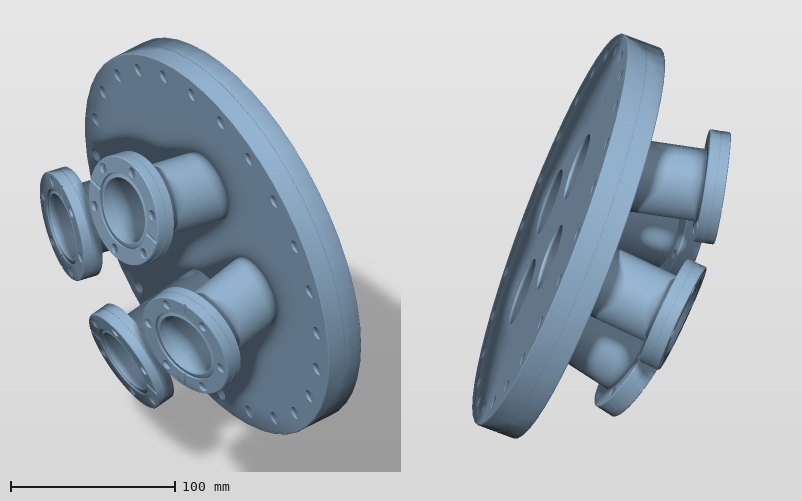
import cadquery as cq
import math

PLATE_DIAMETER = 254.0
PLATE_THICKNESS = 24.6
PLATE_BOLT_COUNT = 24
PLATE_BOLT_CIRCLE = 232.0
PLATE_BOLT_DIAMETER = 8.5

EDGE_CHAMFER = 0.5
RIM_GROOVE_WIDTH = 0.8
RIM_GROOVE_DEPTH = 0.3

PORT_COUNT = 4
TILT = 12.8
TUBE_OUTER_DIAMETER = 44.5
TUBE_BORE = 41.5

FLANGE_DIAMETER = 69.0
FLANGE_THICKNESS = 12.7
FLANGE_LIP = 5.3
FLANGE_BOLT_COUNT = 6
FLANGE_BOLT_CIRCLE = 58.7
FLANGE_BOLT_DIAMETER = 6.5

RECESS_DIAMETER = 48.3
RECESS_DEPTH = 1.5
KNIFE_DIAMETER = 42.0
KNIFE_DEPTH = 0.5

LEAK_GROOVE_WIDTH = 2.3
LEAK_GROOVE_DEPTH = 0.64

FACE_RADIUS = 64.0
FACE_DISTANCE = 62.5

TILT_SINE = math.sin(math.radians(TILT))
TILT_COSINE = math.cos(math.radians(TILT))
PORT_PLANE = cq.Plane(
    origin=(FACE_RADIUS, -FACE_DISTANCE, 0),
    xDir=(TILT_COSINE, TILT_SINE, 0),
    normal=(TILT_SINE, -TILT_COSINE, 0),
)
PORT_SECTION = cq.Plane(origin=PORT_PLANE.origin, xDir=PORT_PLANE.xDir, normal=-PORT_PLANE.yDir)
REACH = 2 * (FACE_DISTANCE + PLATE_THICKNESS)


def port_cylinder(diameter, top=0.0, length=REACH):
    """Cylinder on the port axis, running back from local height `top`."""
    return cq.Workplane(PORT_PLANE).workplane(offset=top).circle(diameter / 2).extrude(-length)


def turned_to_port(body, index):
    """Copy of a body turned about the plate axis to the given port."""
    return body.rotate((0, 0, 0), (0, 1, 0), index * 360 / PORT_COUNT)


def disc(front_plane, diameter, thickness):
    """Chamfered disc behind its front plane, with a fine groove round the middle of its rim."""
    body = cq.Workplane(front_plane).circle(diameter / 2).extrude(-thickness).edges().chamfer(EDGE_CHAMFER)
    rim_groove = (
        cq.Workplane(front_plane)
        .workplane(offset=(RIM_GROOVE_WIDTH - thickness) / 2)
        .circle(diameter / 2)
        .circle(diameter / 2 - RIM_GROOVE_DEPTH)
        .extrude(-RIM_GROOVE_WIDTH)
    )
    return body.cut(rim_groove)


def bolt_holes(front_plane, count, circle_diameter, hole_diameter, first_angle, depth):
    return (
        cq.Workplane(front_plane)
        .polarArray(circle_diameter / 2, first_angle, 360, count)
        .circle(hole_diameter / 2)
        .extrude(-depth)
    )


def make_plate():
    """Mounting plate with its bolt holes and the slanted holes that hold the tubes."""
    front = cq.Plane.named("XZ")
    half_pitch = 180 / PLATE_BOLT_COUNT
    plate = disc(front, PLATE_DIAMETER, PLATE_THICKNESS).cut(
        bolt_holes(
            front, PLATE_BOLT_COUNT, PLATE_BOLT_CIRCLE, PLATE_BOLT_DIAMETER, half_pitch, PLATE_THICKNESS
        )
    )
    tube_hole = port_cylinder(TUBE_OUTER_DIAMETER)
    for index in range(PORT_COUNT):
        plate = plate.cut(turned_to_port(tube_hole, index))
    return plate


def make_tube():
    """Tube from the flange socket to the back of the plate, trimmed flush there."""
    tube = port_cylinder(TUBE_OUTER_DIAMETER, top=-FLANGE_LIP).cut(port_cylinder(TUBE_BORE))
    behind_plate = (
        cq.Workplane("XZ", origin=(0, PLATE_THICKNESS, 0)).rect(2 * REACH, 2 * REACH).extrude(-REACH)
    )
    return tube.cut(behind_plate)


def sealing_recess():
    """Recess whose conical floor rises inward to a knife edge, then drops into the bore."""
    bore_radius = TUBE_BORE / 2
    knife_radius = KNIFE_DIAMETER / 2
    recess_radius = RECESS_DIAMETER / 2
    bore_depth = KNIFE_DEPTH + knife_radius - bore_radius
    return (
        cq.Workplane(PORT_SECTION)
        .moveTo(0, 0)
        .lineTo(recess_radius, 0)
        .lineTo(recess_radius, -RECESS_DEPTH)
        .lineTo(knife_radius, -KNIFE_DEPTH)
        .lineTo(bore_radius, -bore_depth)
        .lineTo(0, -bore_depth)
        .close()
        .revolve(360, (0, 0), (0, 1))
    )


def leak_grooves():
    """Round-bottomed groove on both sides of the recess, at right angles to the radial direction."""
    return (
        cq.Workplane(PORT_SECTION)
        .moveTo(-LEAK_GROOVE_WIDTH / 2, 0)
        .threePointArc((0, -LEAK_GROOVE_DEPTH), (LEAK_GROOVE_WIDTH / 2, 0))
        .close()
        .extrude(FLANGE_DIAMETER / 2, both=True)
        .cut(port_cylinder(RECESS_DIAMETER))
    )


def make_flange():
    """Port flange with a socket for the tube at its back."""
    holes = bolt_holes(
        PORT_PLANE, FLANGE_BOLT_COUNT, FLANGE_BOLT_CIRCLE, FLANGE_BOLT_DIAMETER, 0, FLANGE_THICKNESS
    )
    tube_socket = port_cylinder(TUBE_OUTER_DIAMETER, top=-FLANGE_LIP)
    return (
        disc(PORT_PLANE, FLANGE_DIAMETER, FLANGE_THICKNESS)
        .cut(port_cylinder(TUBE_BORE))
        .cut(tube_socket)
        .cut(sealing_recess())
        .cut(leak_grooves())
        .cut(holes)
    )


plate = make_plate()
first_tube = make_tube()
first_flange = make_flange()
tubes = [turned_to_port(first_tube, index) for index in range(PORT_COUNT)]
flanges = [turned_to_port(first_flange, index) for index in range(PORT_COUNT)]

result = cq.Compound.makeCompound([
    plate.val(),
    *[tube.val() for tube in tubes],
    *[flange.val() for flange in flanges],
])